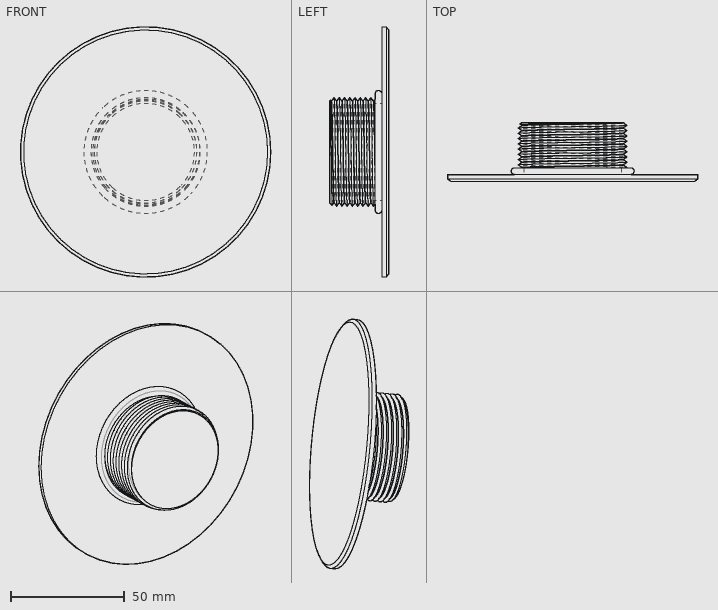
import cadquery as cq

overall_length = 26.0
plate_diameter = 110.0
plate_thickness = 3.1
chamfer_height = 1.1
chamfer_width = 1.4

neck_diameter = 42.8
neck_length = 3.0

crest_diameter = 47.8
root_diameter = 44.9
pitch = 2.3
ridge_base_width = 2.1
core_overlap = 0.3
end_to_first_crest = 1.3
thread_start_angle = 137.0
turns_below_first_crest = 10

ring_outer_diameter = 54.1

shoulder_height = plate_thickness + neck_length
crest_radius = crest_diameter / 2
root_radius = root_diameter / 2
turns_to_start = turns_below_first_crest - thread_start_angle / 360
thread_start = overall_length - end_to_first_crest - turns_to_start * pitch


def along_y(body):
    """Turn a body built along +Z so that it points along +Y."""
    return body.rotate((0, 0, 0), (1, 0, 0), -90)


def make_plate():
    plate = cq.Workplane("XY").circle(plate_diameter / 2).extrude(plate_thickness)
    return plate.faces("<Z").edges().chamfer(chamfer_height, chamfer_width)


def make_thread_ridge():
    """Triangular helical ridge with a foot in the core, running past the spigot end."""
    helix_height = (turns_below_first_crest + 2) * pitch
    foot_radius = root_radius - core_overlap
    lower_edge = thread_start - ridge_base_width / 2
    upper_edge = thread_start + ridge_base_width / 2
    corners = [
        (foot_radius, lower_edge),
        (root_radius, lower_edge),
        (crest_radius, thread_start),
        (root_radius, upper_edge),
        (foot_radius, upper_edge),
    ]
    helices = [
        cq.Wire.makeHelix(pitch, helix_height, radius, center=cq.Vector(0, 0, height))
        for radius, height in corners
    ]
    sides = [
        cq.Face.makeRuledSurface(helix, helices[(index + 1) % len(helices)])
        for index, helix in enumerate(helices)
    ]
    outline = cq.Wire.makePolygon([cq.Vector(radius, 0, height) for radius, height in corners], close=True)
    start_cap = cq.Face.makeFromWires(outline)
    end_cap = start_cap.translate(cq.Vector(0, 0, helix_height))
    ridge = cq.Solid.makeSolid(cq.Shell.makeShell([*sides, start_cap, end_cap])).fix()
    return cq.Workplane(obj=ridge).rotate((0, 0, 0), (0, 0, 1), thread_start_angle)


def make_end_cutter():
    """Waste around the spigot end: all beyond the end face, and a 45-degree chamfer to the root."""
    waste_height = 3 * pitch
    waste_radius = crest_radius + pitch
    chamfer_drop = waste_radius - root_radius
    return (
        cq.Workplane("XZ")
        .moveTo(0, overall_length)
        .lineTo(root_radius, overall_length)
        .lineTo(waste_radius, overall_length - chamfer_drop)
        .lineTo(waste_radius, overall_length + waste_height)
        .lineTo(0, overall_length + waste_height)
        .close()
        .revolve(360, (0, 0, 0), (0, 1, 0))
    )


def make_spigot():
    core_length = overall_length - shoulder_height
    core = cq.Workplane("XY").workplane(offset=shoulder_height).circle(root_radius).extrude(core_length)
    below_shoulder = cq.Workplane("XY").circle(crest_radius + pitch).extrude(2 * shoulder_height)
    below_shoulder = below_shoulder.translate((0, 0, -shoulder_height))
    threaded = core.union(make_thread_ridge())
    return threaded.cut(make_end_cutter()).cut(below_shoulder)


def make_plug():
    neck = cq.Workplane("XY").circle(neck_diameter / 2).extrude(shoulder_height)
    return along_y(make_plate().union(neck).union(make_spigot()))


def make_sealing_ring():
    rim_radius = neck_length / 2
    inner_radius = neck_diameter / 2
    rim_center = ring_outer_diameter / 2 - rim_radius
    ring = (
        cq.Workplane("XZ")
        .moveTo(inner_radius, plate_thickness)
        .lineTo(rim_center, plate_thickness)
        .threePointArc((rim_center + rim_radius, plate_thickness + rim_radius), (rim_center, shoulder_height))
        .lineTo(inner_radius, shoulder_height)
        .close()
        .revolve(360, (0, 0, 0), (0, 1, 0))
    )
    return along_y(ring)


plug = make_plug()
sealing_ring = make_sealing_ring()

result = cq.Compound.makeCompound([plug.val(), sealing_ring.val()])